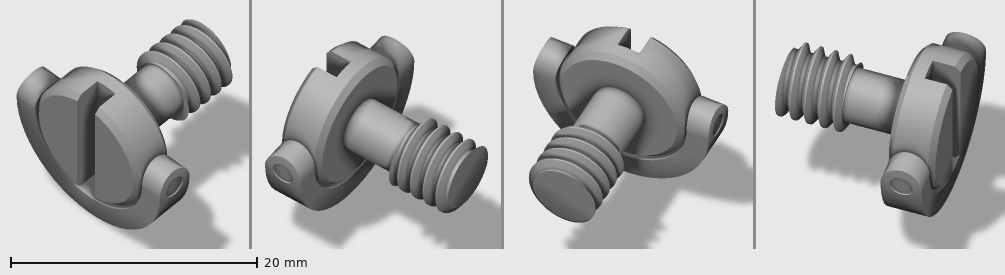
import cadquery as cq
import math

head_diameter = 11.5
head_thickness = 4.0
head_chamfer = 0.5
slot_width = 2.0
slot_depth = 2.4

ring_outer_radius = 8.0
ring_inner_radius = 6.0
ring_width = 3.52
ring_middle_y = head_thickness / 2
notch_width = 1.44
notch_depth = 0.96
pin_diameter = 2.0
pin_recess = 0.2

shank_diameter = 4.6
shank_length = 5.0
thread_length = 5.5
thread_root_diameter = 4.98
thread_crest_diameter = 6.35
thread_pitch = 1.26
crest_flat = thread_pitch / 8
flank_angle = 30.0
spare_turns = 2
crest_offset = 1.05
root_overlap = 0.08

thread_start_y = head_thickness + shank_length
thread_end_y = thread_start_y + thread_length


def cylinder_y(diameter, start_y, end_y):
    """Cylinder on the Y axis between two Y positions."""
    base = cq.Workplane("XZ", origin=(0, start_y, 0))
    return base.circle(diameter / 2).extrude(start_y - end_y)


def cylinder_x(diameter, length):
    """Cylinder along X, centred on the ring pivot."""
    base = cq.Workplane("YZ").center(ring_middle_y, 0)
    return base.circle(diameter / 2).extrude(length / 2, both=True)


def make_head():
    disc = cylinder_y(head_diameter, 0, head_thickness)
    return disc.faces("<Y or >Y").chamfer(head_chamfer)


def make_ring():
    diameter = 2 * ring_outer_radius
    ring_start_y = ring_middle_y - ring_width / 2
    ring_end_y = ring_middle_y + ring_width / 2
    annulus = cylinder_y(diameter, ring_start_y, ring_end_y)
    annulus = annulus.cut(cylinder_y(2 * ring_inner_radius, ring_start_y, ring_end_y))

    lower_half = cq.Workplane("XY").box(diameter, ring_width, ring_outer_radius)
    lower_half = lower_half.translate((0, ring_middle_y, -ring_outer_radius / 2))
    ring = annulus.intersect(lower_half.union(cylinder_x(ring_width, diameter)))

    notch = (
        cq.Workplane("YZ")
        .moveTo(ring_middle_y - notch_width / 2, -ring_outer_radius)
        .lineTo(ring_middle_y, notch_depth - ring_outer_radius)
        .lineTo(ring_middle_y + notch_width / 2, -ring_outer_radius)
        .close()
        .extrude(ring_outer_radius, both=True)
    )
    return ring.cut(notch).cut(cylinder_x(pin_diameter, diameter))


def make_pin():
    return cylinder_x(pin_diameter, 2 * (ring_outer_radius - pin_recess))


def make_thread():
    """Right-handed ridge on a root cylinder, trimmed square at both ends."""
    root_radius = thread_root_diameter / 2
    crest_radius = thread_crest_diameter / 2
    inner_radius = root_radius - root_overlap
    half_crest = crest_flat / 2
    half_base = half_crest + (crest_radius - inner_radius) * math.tan(math.radians(flank_angle))

    turns = math.ceil(thread_length / thread_pitch) + 2 * spare_turns
    helix = cq.Workplane(cq.Wire.makeHelix(thread_pitch, turns * thread_pitch, root_radius))
    ridge = (
        cq.Workplane("XZ")
        .polyline([
            (inner_radius, -half_base),
            (crest_radius, -half_crest),
            (crest_radius, half_crest),
            (inner_radius, half_base),
        ])
        .close()
        .sweep(helix, isFrenet=True)
    )

    helix_start_y = thread_start_y + crest_offset - spare_turns * thread_pitch
    helix_end_y = helix_start_y + turns * thread_pitch
    ridge = ridge.rotate((0, 0, 0), (1, 0, 0), -90).translate((0, helix_start_y, 0))
    root = cylinder_y(thread_root_diameter, helix_start_y - thread_pitch, helix_end_y + thread_pitch)
    envelope = cylinder_y(2 * thread_crest_diameter, thread_start_y, thread_end_y)
    return root.union(ridge).intersect(envelope)


shank = cylinder_y(shank_diameter, head_thickness, thread_start_y)
slot = cq.Workplane("XY").box(slot_width, 2 * slot_depth, head_diameter)
head_and_pin = make_head().union(make_pin()).cut(slot)
result = head_and_pin.union(make_ring()).union(shank).union(make_thread())